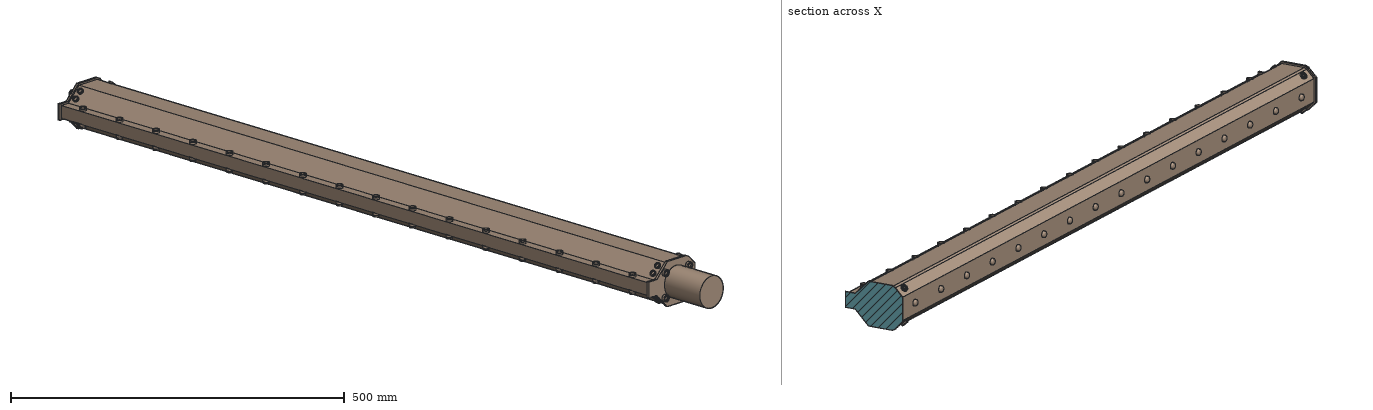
import math

import cadquery as cq

TOTAL_LENGTH = 1306.72
TOTAL_WIDTH = 101.53
TOTAL_HEIGHT = 71.12

PLATE_THICKNESS = 4.0
PLATE_OVERHANG = 2.54

TUBE_DIAMETER = 50.8
TUBE_LENGTH = 73.5

BACK_Y = 38.3
BACK_HEAD_HEIGHT = 4.2
FIN_Y = BACK_Y + BACK_HEAD_HEIGHT + PLATE_OVERHANG - TOTAL_WIDTH
FIN_HALF_THICKNESS = 10.16
BODY_HALF_HEIGHT = TOTAL_HEIGHT / 2 - PLATE_OVERHANG
TOP_FRONT_Y = -18.0
TOP_BACK_Y = 21.5
SHOULDER_Y = 25.5
SHOULDER_HALF_HEIGHT = 31.2
BACK_HALF_HEIGHT = 18.5

HEAD_HEIGHT = 4.8
HEAD_SINK = 1.0
PLATE_HEAD_DIAMETER = 11.0
SOCKET_DIAMETER = 7.6
SOCKET_DEPTH = 2.5
PLATE_SCREW_Y = 25.4
PLATE_SCREW_Z = 20.0

ROW_COUNT = 16
ROW_PITCH = 76.2
ROW_HEAD_DIAMETER = 10.5
FIN_SCREW_Y = FIN_Y + 6.5
FIN_STUD_DIAMETER = 9.0
FIN_STUD_HEIGHT = 7.2
BACK_HEAD_ROUNDING = 3.0

SLOPE_HEAD_HEIGHT = 3.5
FRONT_SLOPE_HEAD_DIAMETER = 9.0
FRONT_SLOPE_SCREW_PITCH = 14.0
FRONT_SLOPE_SCREW_INSET = 10.1
BACK_SLOPE_HEAD_DIAMETER = 10.5
BACK_SLOPE_SCREW_INSET = 19.5
BACK_SLOPE_SCREW_OFFSET = -2.0

LEFT_FACE_X = -TOTAL_LENGTH / 2 + HEAD_HEIGHT
RIGHT_FACE_X = TOTAL_LENGTH / 2 - TUBE_LENGTH
BODY_START_X = LEFT_FACE_X + PLATE_THICKNESS
BODY_END_X = RIGHT_FACE_X - PLATE_THICKNESS
MIDDLE_X = (LEFT_FACE_X + RIGHT_FACE_X) / 2

FIN_ROOT = (TOP_FRONT_Y - (BODY_HALF_HEIGHT - FIN_HALF_THICKNESS), FIN_HALF_THICKNESS)
TOP_FRONT = (TOP_FRONT_Y, BODY_HALF_HEIGHT)
SHOULDER = (SHOULDER_Y, SHOULDER_HALF_HEIGHT)
BACK_CORNER = (BACK_Y, BACK_HALF_HEIGHT)
UPPER_CORNERS = [
    (FIN_Y, FIN_HALF_THICKNESS),
    FIN_ROOT,
    TOP_FRONT,
    (TOP_BACK_Y, BODY_HALF_HEIGHT),
    SHOULDER,
    BACK_CORNER,
]


def section(x):
    """Closed body outline in the YZ plane at the given x."""
    lower_corners = [(y, -z) for y, z in reversed(UPPER_CORNERS)]
    return cq.Workplane("YZ", origin=(x, 0, 0)).polyline(UPPER_CORNERS + lower_corners).close()


def make_body():
    return section(BODY_START_X).extrude(BODY_END_X - BODY_START_X)


def make_plate(x):
    return section(x).offset2D(PLATE_OVERHANG, "intersection").extrude(PLATE_THICKNESS)


def make_tube():
    plane = cq.Workplane("YZ", origin=(BODY_END_X, 0, 0))
    return plane.circle(TUBE_DIAMETER / 2).extrude(TOTAL_LENGTH / 2 - BODY_END_X)


def head(seat, direction, diameter, height):
    """Round head standing on the seat point, sunk slightly into the part."""
    axis = cq.Vector(*direction).normalized()
    base = cq.Vector(*seat) - axis * HEAD_SINK
    return cq.Solid.makeCylinder(diameter / 2, height + HEAD_SINK, base, axis)


def socket_head(seat, direction, diameter, height):
    axis = cq.Vector(*direction).normalized()
    bottom = cq.Vector(*seat) + axis * (height - SOCKET_DEPTH)
    socket = cq.Solid.makeCylinder(SOCKET_DIAMETER / 2, SOCKET_DEPTH, bottom, axis)
    return head(seat, direction, diameter, height).cut(socket)


def plate_head(x, y, z, direction):
    return socket_head((x, y, z), (direction, 0, 0), PLATE_HEAD_DIAMETER, HEAD_HEIGHT)


def plate_heads():
    heads = [plate_head(LEFT_FACE_X, 0, 0, -1)]
    for y in (-PLATE_SCREW_Y, PLATE_SCREW_Y):
        for z in (-PLATE_SCREW_Z, PLATE_SCREW_Z):
            heads.append(plate_head(LEFT_FACE_X, y, z, -1))
            heads.append(plate_head(RIGHT_FACE_X, y, z, 1))
    return heads


def back_head(x):
    blank = head((x, BACK_Y, 0), (0, 1, 0), ROW_HEAD_DIAMETER, BACK_HEAD_HEIGHT)
    return cq.Workplane(blank).faces(">Y").edges().fillet(BACK_HEAD_ROUNDING).val()


def row_heads():
    heads = []
    for i in range(ROW_COUNT):
        x = MIDDLE_X + (i - (ROW_COUNT - 1) / 2) * ROW_PITCH
        fin_top = (x, FIN_SCREW_Y, FIN_HALF_THICKNESS)
        fin_bottom = (x, FIN_SCREW_Y, -FIN_HALF_THICKNESS)
        heads.append(socket_head(fin_top, (0, 0, 1), ROW_HEAD_DIAMETER, HEAD_HEIGHT))
        heads.append(head(fin_bottom, (0, 0, -1), ROW_HEAD_DIAMETER, HEAD_HEIGHT))
        heads.append(head(fin_bottom, (0, 0, -1), FIN_STUD_DIAMETER, FIN_STUD_HEIGHT))
        heads.append(back_head(x))
    return heads


def slope_heads(start, end, diameter, inset, offsets):
    """Heads on the sloping face between two section corners, mirrored top to bottom and end to end.

    Offsets are measured along the slope from its middle."""
    length = math.dist(start, end)
    along_y = (end[0] - start[0]) / length
    along_z = (end[1] - start[1]) / length
    heads = []
    for offset in offsets:
        y = (start[0] + end[0]) / 2 + offset * along_y
        z = (start[1] + end[1]) / 2 + offset * along_z
        for x in (BODY_START_X + inset, BODY_END_X - inset):
            for side in (-1, 1):
                normal = (0, -along_z, side * along_y)
                heads.append(socket_head((x, y, side * z), normal, diameter, SLOPE_HEAD_HEIGHT))
    return heads


front_offsets = (-FRONT_SLOPE_SCREW_PITCH / 2, FRONT_SLOPE_SCREW_PITCH / 2)
front_heads = slope_heads(
    FIN_ROOT, TOP_FRONT, FRONT_SLOPE_HEAD_DIAMETER, FRONT_SLOPE_SCREW_INSET, front_offsets
)
back_offsets = (BACK_SLOPE_SCREW_OFFSET,)
back_heads = slope_heads(
    SHOULDER, BACK_CORNER, BACK_SLOPE_HEAD_DIAMETER, BACK_SLOPE_SCREW_INSET, back_offsets
)

part = make_body().union(make_plate(LEFT_FACE_X)).union(make_plate(BODY_END_X)).union(make_tube())
solids = plate_heads() + row_heads() + front_heads + back_heads
result = cq.Workplane(part.val().fuse(*solids))